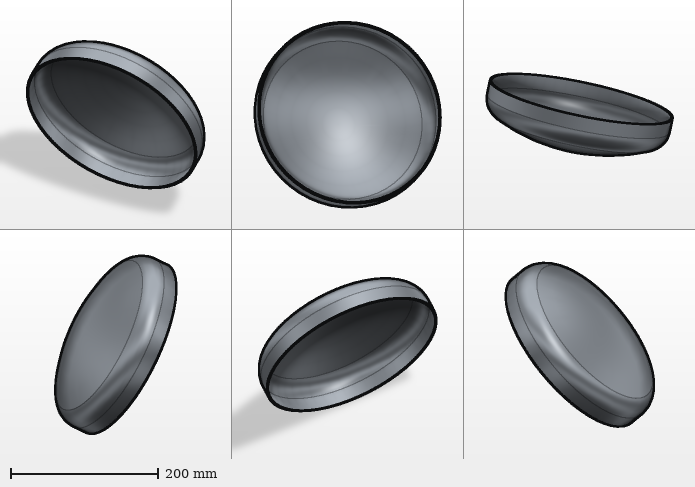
import cadquery as cq
import math

outer_diameter = 254.0
wall = 2.0
skirt_length = 20.0
inner_crown_radius = outer_diameter
inner_knuckle_radius = 0.1 * outer_diameter

outer_radius = outer_diameter / 2
knuckle_center_radius = outer_radius - wall - inner_knuckle_radius

center_distance = inner_crown_radius - inner_knuckle_radius
joint_angle = math.asin(knuckle_center_radius / center_distance)
crown_center_y = skirt_length - center_distance * math.cos(joint_angle)


def crown_point(radius, angle):
    """Point on a crown arc, with the angle measured from the dish axis."""
    return (radius * math.sin(angle), crown_center_y + radius * math.cos(angle))


def knuckle_point(radius, angle):
    """Point on a knuckle arc, with the angle measured from the dish axis."""
    return (
        knuckle_center_radius + radius * math.sin(angle),
        skirt_length + radius * math.cos(angle),
    )


def solid_dome(offset):
    """Filled dome whose surface lies the given distance outside the inner wall."""
    crown_radius = inner_crown_radius + offset
    knuckle_radius = inner_knuckle_radius + offset
    skirt_radius = knuckle_center_radius + knuckle_radius
    knuckle_middle_angle = (joint_angle + math.pi / 2) / 2
    profile = (
        cq.Workplane("XY")
        .lineTo(skirt_radius, 0)
        .lineTo(skirt_radius, skirt_length)
        .threePointArc(
            knuckle_point(knuckle_radius, knuckle_middle_angle),
            knuckle_point(knuckle_radius, joint_angle),
        )
        .threePointArc(
            crown_point(crown_radius, joint_angle / 2),
            crown_point(crown_radius, 0),
        )
        .close()
    )
    return profile.revolve(360, (0, 0, 0), (0, 1, 0))


result = solid_dome(wall).cut(solid_dome(0))